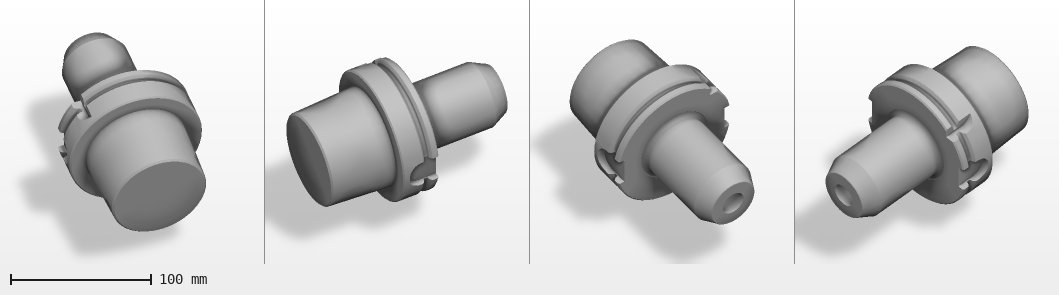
import cadquery as cq
import math

total_length = 150.0
flange_start = 71.0
flange_end = 100.0

nose_tip_radius = 19.0
nose_tip_chamfer = 0.5
nose_length = 12.8
shank_radius = 50.0 / 2
shank_end = 66.6
neck_radius = 49.8 / 2
relief_start = 67.6
relief_radius = 3.8
relief_depth = relief_start + relief_radius - flange_start
bore_diameter = 18.0
bore_depth = 50.0

flange_radius = 100.0 / 2
flange_chamfer = 1.0
groove_center = 79.8
groove_floor_radius = 45.9
groove_floor_width = 3.2
groove_floor_fillet = 0.6
groove_shoulder_radius = 48.0
groove_shoulder_width = 4.0
groove_mouth_width = 6.3
groove_lip = 0.6

taper_large_radius = 38.1
taper_small_radius = 35.5
tail_chamfer = 1.4

slot_end = 95.1
slot_end_radius = 10.0
drive_slot_floor = 44.0
back_slot_width = 22.2
notch_corner = 31.5


def make_body():
    """Revolve the half outline of the holder, without the groove, about X.

    The round at the neck sinks slightly into the flange face and leaves it on a bevel.
    """
    relief_mid_x = relief_start + relief_radius * math.sin(math.pi / 4)
    relief_mid_radius = neck_radius + relief_radius * (1 - math.cos(math.pi / 4))
    relief_end_radius = neck_radius + relief_radius
    return (
        cq.Workplane("XY")
        .moveTo(0, 0)
        .lineTo(0, nose_tip_radius - nose_tip_chamfer)
        .lineTo(nose_tip_chamfer, nose_tip_radius)
        .lineTo(nose_length, shank_radius)
        .lineTo(shank_end, shank_radius)
        .lineTo(relief_start, neck_radius)
        .threePointArc(
            (relief_mid_x, relief_mid_radius),
            (relief_start + relief_radius, relief_end_radius),
        )
        .lineTo(flange_start, relief_end_radius + relief_depth)
        .lineTo(flange_start, flange_radius - flange_chamfer)
        .lineTo(flange_start + flange_chamfer, flange_radius)
        .lineTo(flange_end - flange_chamfer, flange_radius)
        .lineTo(flange_end, flange_radius - flange_chamfer)
        .lineTo(flange_end, taper_large_radius)
        .lineTo(total_length - tail_chamfer, taper_small_radius)
        .lineTo(total_length, taper_small_radius - tail_chamfer)
        .lineTo(total_length, 0)
        .close()
        .revolve(360, (0, 0, 0), (1, 0, 0))
    )


def make_groove():
    """Ring with a narrow floor, sloping flanks and bevelled lips."""
    half_profile = [
        (groove_floor_width / 2, groove_floor_radius),
        (groove_shoulder_width / 2, groove_shoulder_radius),
        (groove_mouth_width / 2, flange_radius - groove_lip),
        (groove_mouth_width / 2 + groove_lip, flange_radius),
    ]
    left_side = [(groove_center - offset, radius) for offset, radius in half_profile]
    right_side = [(groove_center + offset, radius) for offset, radius in half_profile]
    return (
        cq.Workplane("XY")
        .polyline(left_side[::-1] + right_side)
        .close()
        .revolve(360, (0, 0, 0), (1, 0, 0))
        .edges(cq.selectors.RadiusNthSelector(0))
        .fillet(groove_floor_fillet)
    )


def make_slot(z_bottom, z_top, y_low, y_high):
    """Straight slot along X whose closed end has rounded corners."""
    return (
        cq.Workplane("XY")
        .box(slot_end - flange_start, y_high - y_low, z_top - z_bottom, centered=False)
        .edges("|Y and >X")
        .fillet(slot_end_radius)
        .translate((flange_start, y_low, z_bottom))
    )


def make_round_slot(y_low, y_high):
    """Slot along X, centred on the axis height, with a full half-round closed end."""
    end_center = slot_end - slot_end_radius
    return (
        cq.Workplane("XZ", origin=(0, y_high, 0))
        .moveTo(flange_start, -slot_end_radius)
        .lineTo(end_center, -slot_end_radius)
        .threePointArc((slot_end, 0), (end_center, slot_end_radius))
        .lineTo(flange_start, slot_end_radius)
        .close()
        .extrude(y_high - y_low)
    )


def make_bore():
    """Blind tool bore in the nose."""
    return cq.Workplane("YZ").circle(bore_diameter / 2).extrude(bore_depth)


front_slot = make_round_slot(-flange_radius, -drive_slot_floor)
back_slot = make_slot(-back_slot_width / 2, back_slot_width / 2, drive_slot_floor, flange_radius)
notch = make_slot(notch_corner, notch_corner + flange_radius, -flange_radius, -notch_corner)

result = make_body()
for cutter in (make_groove(), front_slot, back_slot, notch, make_bore()):
    result = result.cut(cutter)